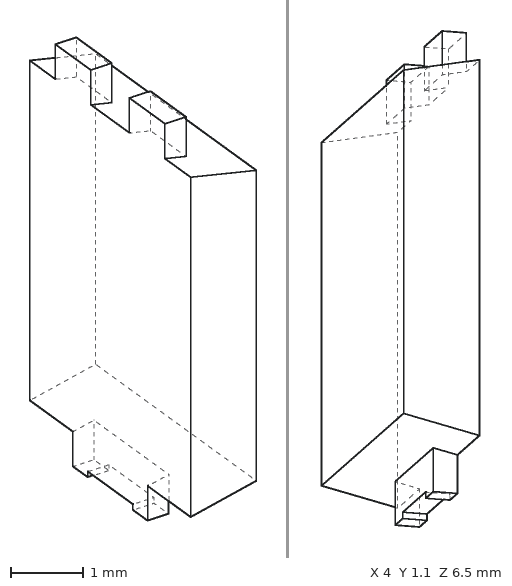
import cadquery as cq
import math

total_height = 6.5

body_width = 4.0
body_depth = 1.1
end_overhang = 0.55
body_bottom = end_overhang
body_top = total_height - end_overhang
end_draft_degrees = 12.0
end_inset = body_depth * math.tan(math.radians(end_draft_degrees))

contact_thickness = 0.35
lead_width = 0.885
lead_length = 0.805
lead_pitch = 1.84
pad_width = 3.035
pad_bottom = 0.86
pad_top = 4.44
tab_width = 1.86
notch_width = 1.12
notch_depth = 0.09


def make_body():
    """Trapezoid in the YZ plane, extruded across the full width."""
    return (
        cq.Workplane("YZ")
        .moveTo(0, body_bottom)
        .lineTo(body_depth, body_bottom + end_inset)
        .lineTo(body_depth, body_top - end_inset)
        .lineTo(0, body_top)
        .close()
        .extrude(body_width / 2, both=True)
    )


def contact_block(width, bottom, top, center_x=0):
    """Flat contact metal with its outer face flush with the body's -Y face."""
    return (
        cq.Workplane("XY")
        .box(width, contact_thickness, top - bottom, centered=(True, False, False))
        .translate((center_x, 0, bottom))
    )


def make_pad():
    """Large pad with a narrower tab running off the bottom, notched at its end."""
    pad = contact_block(pad_width, pad_bottom, pad_top)
    tab = contact_block(tab_width, 0, pad_top)
    notch = contact_block(notch_width, 0, notch_depth)
    return pad.union(tab).cut(notch)


def make_lead(center_x):
    """Short rectangular lead projecting from the top of the body."""
    return contact_block(lead_width, total_height - lead_length, total_height, center_x)


contacts = [make_pad()] + [make_lead(side * lead_pitch / 2) for side in (-1, 1)]

result = make_body()
for contact in contacts:
    result = result.cut(contact, clean=False).union(contact, clean=False)